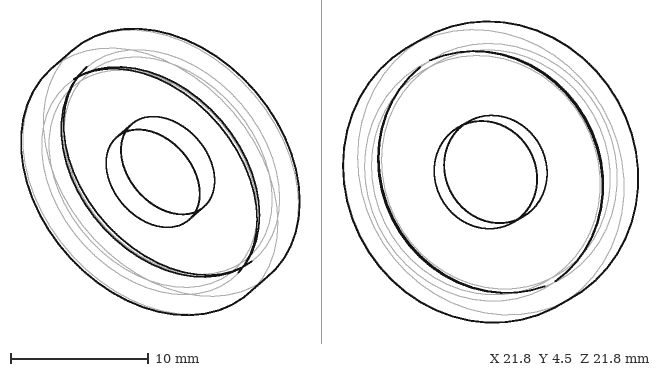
import cadquery as cq
import math

outer_diameter = 21.8
bore_diameter = 8.0
width = 4.5
rim_radius = 0.8
floor_fillet = 0.4

outer_radius = outer_diameter / 2
bore_radius = bore_diameter / 2
rim_center_radius = outer_radius - rim_radius
rim_inner_radius = outer_radius - 2 * rim_radius
floor_radius = rim_inner_radius - floor_fillet

half_width = width / 2
rim_tangent = half_width - rim_radius
web_half = rim_tangent - floor_fillet

fillet_offset = floor_fillet * math.sqrt(0.5)
fillet_mid_radius = floor_radius + fillet_offset
fillet_mid_y = web_half + floor_fillet - fillet_offset

section = (
    cq.Workplane("XY")
    .moveTo(bore_radius, -web_half)
    .lineTo(floor_radius, -web_half)
    .threePointArc((fillet_mid_radius, -fillet_mid_y), (rim_inner_radius, -rim_tangent))
    .threePointArc((rim_center_radius, -half_width), (outer_radius, -rim_tangent))
    .lineTo(outer_radius, rim_tangent)
    .threePointArc((rim_center_radius, half_width), (rim_inner_radius, rim_tangent))
    .threePointArc((fillet_mid_radius, fillet_mid_y), (floor_radius, web_half))
    .lineTo(bore_radius, web_half)
    .close()
)

result = section.revolve(360, (0, 0, 0), (0, 1, 0))